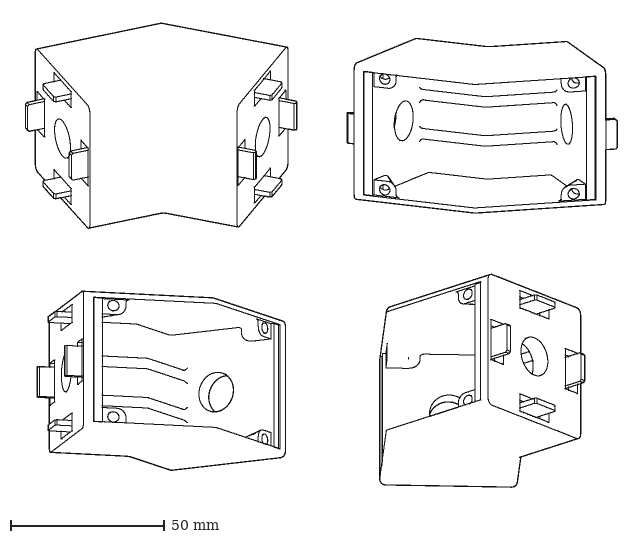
import cadquery as cq
import math

WIDTH = 45.0
HEIGHT = 45.6
BEND_ANGLE = 45.0
NEAR_LENGTH = 44.75
FAR_LENGTH = 44.5
EDGE_RADIUS = 2.0
SKIN = 2.2
BACK_WALL = 5.2
END_PLATE = 6.4
INNER_RADIUS = 1.0

SEAT_DEPTH = 0.65
SEAT_RIM = 3.4

CABLE_DIAMETER = 13.0

TONGUE_PITCH = 36.0
TONGUE_WIDTH = 9.95
TONGUE_THICKNESS = 1.8
TONGUE_REACH = 5.05
TONGUE_CHAMFER = 0.6
FAR_TONGUE_SHIFT = 0.6
POCKET_WIDTH = 14.0
POCKET_HEIGHT = 5.95
POCKET_DEPTH = 4.0

RIB_WIDTH = 3.5
RIB_RISE = 5.6
RIB_PITCH = 13.0

BOSS_DEPTH = 1.7
BOSS_LENGTH = 8.2
BOSS_RISE = 5.05
BOSS_CORNER = 3.0
BOSS_FLARE = 1.0
BOSS_SLANT = 0.74
SCREW_DIAMETER = 3.4
SCREW_FROM_PLATE = 4.0
SCREW_FROM_SKIN = 2.1
SCREW_DEPTH = 7.3
SCREW_SLANT = 0.48

OVERLAP = 0.8
TOLERANCE = 0.01

TURN = math.radians(BEND_ANGLE)
MITER = math.tan(TURN / 2)
MID_Z = HEIGHT / 2


def far_point(across, along):
    """Plan point of the far arm: distance from its outer side, distance along it."""
    x = along * math.sin(TURN) + across * math.cos(TURN)
    y = NEAR_LENGTH + along * math.cos(TURN) - across * math.sin(TURN)
    return (x, y)


def elbow(outer, inner, end_gap, z_low, z_high):
    """Bent slab between two distances from the outer side, stopping short of both ends."""
    outline = [
        (outer, end_gap),
        (inner, end_gap),
        (inner, NEAR_LENGTH - inner * MITER),
        far_point(inner, FAR_LENGTH - end_gap),
        far_point(outer, FAR_LENGTH - end_gap),
        (outer, NEAR_LENGTH - outer * MITER),
    ]
    slab = cq.Workplane("XY").workplane(offset=z_low).polyline(outline).close()
    return slab.extrude(z_high - z_low)


def depth_from_outer_side(point):
    """Distance from the nearer of the two outer sides."""
    far_depth = point.x * math.cos(TURN) - (point.y - NEAR_LENGTH) * math.sin(TURN)
    return min(point.x, far_depth)


NEAR_END = cq.Plane(origin=(0, 0, MID_Z), xDir=(1, 0, 0), normal=(0, -1, 0))
FAR_END = cq.Plane(
    origin=(*far_point(0, FAR_LENGTH), MID_Z),
    xDir=(math.cos(TURN), -math.sin(TURN), 0),
    normal=(math.sin(TURN), math.cos(TURN), 0),
)


def placed(feature, end):
    """Move a feature built in end coordinates to one end of the elbow."""
    return feature.val().moved(cq.Location(end))


def outer_body():
    """Solid elbow with both bend corners and all long edges rounded."""
    body = elbow(0, WIDTH, 0, 0, HEIGHT)
    for depth in (0, WIDTH):
        bend = (depth, NEAR_LENGTH - depth * MITER, MID_Z)
        body = body.edges(cq.selectors.NearestToPointSelector(bend)).fillet(EDGE_RADIUS)
    end_edges = cq.selectors.ParallelDirSelector(NEAR_END.xDir)
    end_edges += cq.selectors.ParallelDirSelector(FAR_END.xDir)
    long_edges = cq.selectors.InverseSelector(end_edges)
    return body.faces("<Z or >Z").edges(long_edges).fillet(EDGE_RADIUS)


def cavity():
    """Space inside the elbow, open on the outer side, with two ribs left on the back wall."""
    inner = WIDTH - BACK_WALL
    rib_top = inner - RIB_RISE
    hollow = elbow(-EDGE_RADIUS, inner, END_PLATE, SKIN, HEIGHT - SKIN)
    for rib_z in (MID_Z - RIB_PITCH / 2, MID_Z + RIB_PITCH / 2):
        hollow = hollow.cut(elbow(rib_top, WIDTH, 0, rib_z - RIB_WIDTH / 2, rib_z + RIB_WIDTH / 2))

    def is_inner_corner(edge):
        middle = edge.Center()
        depth = depth_from_outer_side(middle)
        upright = edge.BoundingBox().zlen > TOLERANCE
        clear_of_skin = abs(middle.z - MID_Z) < MID_Z - SKIN - TOLERANCE
        lowest = rib_top - TOLERANCE if upright else rib_top + TOLERANCE
        return clear_of_skin and depth > lowest

    hollow = hollow.edges().filter(is_inner_corner).fillet(INNER_RADIUS)
    seat = elbow(-EDGE_RADIUS, SEAT_DEPTH, SEAT_RIM, SKIN, HEIGHT - SKIN)
    return hollow.union(seat)


def boss(side):
    """Slanted gusset against the end plate; side is 1 or -1 for the two skins.

    The screw hole leans the same way and stops at the end plate.
    """
    skin_y = side * (MID_Z - SKIN)
    top_y = skin_y - side * BOSS_RISE
    tip = -END_PLATE - BOSS_LENGTH
    arc_inset = 1 - math.cos(math.pi / 4)
    profile = (
        cq.Workplane("YZ", origin=(BOSS_DEPTH, 0, 0))
        .moveTo(skin_y + side * OVERLAP, 0)
        .lineTo(top_y, 0)
        .lineTo(top_y, tip + BOSS_CORNER)
        .threePointArc(
            (top_y + side * BOSS_CORNER * arc_inset, tip + BOSS_CORNER * arc_inset),
            (top_y + side * BOSS_CORNER, tip),
        )
        .lineTo(skin_y - side * BOSS_FLARE, tip)
        .threePointArc(
            (skin_y - side * BOSS_FLARE * arc_inset, tip - BOSS_FLARE * arc_inset),
            (skin_y, tip - BOSS_FLARE),
        )
        .lineTo(skin_y + side * OVERLAP, tip - BOSS_FLARE)
        .close()
    )
    depth = (BOSS_LENGTH + BOSS_FLARE) / BOSS_SLANT
    slant = cq.Vector(depth, 0, depth * BOSS_SLANT)
    gusset = cq.Workplane(cq.Solid.extrudeLinear(profile.wire().val(), [], slant))

    mouth = cq.Vector(BOSS_DEPTH, skin_y - side * SCREW_FROM_SKIN, -END_PLATE - SCREW_FROM_PLATE)
    axis = cq.Vector(1, 0, SCREW_SLANT).normalized()
    start = mouth - axis * SCREW_DIAMETER
    hole = cq.Solid.makeCylinder(SCREW_DIAMETER / 2, SCREW_DEPTH + SCREW_DIAMETER, start, axis)
    return gusset.cut(cq.Workplane(hole))


def pocket(x, y, upright):
    size = (POCKET_HEIGHT, POCKET_WIDTH) if upright else (POCKET_WIDTH, POCKET_HEIGHT)
    return cq.Workplane("XY").center(x, y).rect(*size).extrude(-POCKET_DEPTH)


def tongue(x, y, upright, tip_edges):
    size = (TONGUE_THICKNESS, TONGUE_WIDTH) if upright else (TONGUE_WIDTH, TONGUE_THICKNESS)
    floor = cq.Workplane("XY", origin=(x, y, -POCKET_DEPTH))
    bar = floor.rect(*size).extrude(POCKET_DEPTH + TONGUE_REACH)
    return bar.faces(">Z").edges(tip_edges).chamfer(TONGUE_CHAMFER)


def tongue_places(side_shift):
    """Centre of each tongue, and whether it stands upright."""
    middle = WIDTH / 2
    reach = TONGUE_PITCH / 2
    return [
        (middle, reach, False),
        (middle, -reach, False),
        (middle + side_shift - reach, 0, True),
        (middle + side_shift + reach, 0, True),
    ]


def cable_hole():
    return cq.Workplane("XY").center(WIDTH / 2, 0).circle(CABLE_DIAMETER / 2).extrude(-END_PLATE - OVERLAP)


hollow = cavity()
for end in (NEAR_END, FAR_END):
    for side in (1, -1):
        hollow = hollow.cut(placed(boss(side), end))

result = outer_body().cut(hollow)
for end, side_shift in ((NEAR_END, 0), (FAR_END, FAR_TONGUE_SHIFT)):
    result = result.cut(placed(cable_hole(), end))
    for place in tongue_places(side_shift):
        result = result.cut(placed(pocket(*place), end))
        upright = place[2]
        tip_edges = "|X" if upright and end is NEAR_END else "|Y"
        result = result.union(placed(tongue(*place, tip_edges), end))